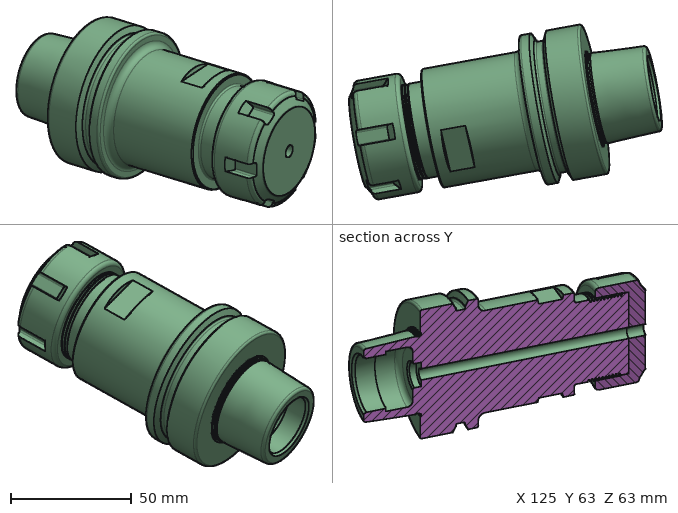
import cadquery as cq
import math


taper_tip_radius = 18.0
taper_slope = 0.05
tip_round = 1.2
taper_end = 23.0
neck_radius = 18.8
neck_start = 23.8
neck_end = 24.5
neck_root_radius = 19.2

flange_start = 25.0
flange_end = 51.0
flange_radius = 31.5
flange_round = 1.0
relief_radius = 20.1
relief_depth = 0.5
grip_start = 39.6
grip_end = 46.4
grip_bevel_length = 1.4
grip_bevel_drop = 2.8
grip_floor_radius = 27.6
grip_fillet = 0.8

body_radius = 25.0
body_end = 93.5
body_chamfer = 0.5
body_fillet = 3.0
flat_start = 77.8
flat_end = 88.0
flat_height = 23.0
flat_wall_angle = 15.0

stud_radius = 20.0
stud_end = 117.5
stud_root_fillet = 0.8
thread_pitch = 1.5
thread_depth = 1.2
thread_width = 1.2
thread_turns = 10
thread_start = 99.6
thread_start_angle = 209.0

socket_radius = 13.0
socket_mouth_radius = 13.8
socket_mouth_length = 1.2
socket_lip = 10.0
undercut_radius = 14.5
socket_depth = 21.8
socket_floor_fillet = 2.5
counterbore_radius = 5.8
counterbore_mouth_radius = 6.5
counterbore_depth = 3.8
through_radius = 2.6

nut_start = 102.5
nut_end = 125.0
nut_radius = 25.0
nut_round = 1.9
nut_shoulder = 122.4
cone_rear_radius = 23.0
cone_front_radius = 19.5
nut_edge = 0.4
slot_count = 6
slot_width = 6.5
slot_floor_height = 21.5
slot_floor_fillet = 0.8
slot_floor_start = 112.6
slot_lead = 2.5
slot_ramp_angle = 50.0


def revolve_about_x(outline):
    return outline.close().revolve(360, (0, 0, 0), (1, 0, 0))


def round_corner(outline, corner, entry, leave, radius):
    """Line to a right-angled corner rounded off; entry and leave are unit travel directions."""
    begin = (corner[0] - entry[0] * radius, corner[1] - entry[1] * radius)
    finish = (corner[0] + leave[0] * radius, corner[1] + leave[1] * radius)
    return outline.lineTo(*begin).tangentArcPoint(finish, relative=False)


def holder_blank():
    right, up, down = (1, 0), (0, 1), (0, -1)
    taper_end_radius = taper_tip_radius + taper_slope * (taper_end - tip_round)
    bevel_radius = flange_radius - grip_bevel_drop
    groove_left = grip_start + grip_bevel_length
    groove_right = grip_end - grip_bevel_length

    outline = cq.Workplane("XZ").lineTo(0, taper_tip_radius - tip_round)
    outline = outline.radiusArc((tip_round, taper_tip_radius), tip_round)
    outline = outline.lineTo(taper_end, taper_end_radius).lineTo(neck_start, neck_radius)
    outline = outline.lineTo(neck_end, neck_radius).lineTo(flange_start, neck_root_radius)
    outline = outline.lineTo(flange_start + relief_depth, neck_root_radius)
    outline = outline.lineTo(flange_start + relief_depth, relief_radius).lineTo(flange_start, relief_radius)
    outline = round_corner(outline, (flange_start, flange_radius), up, right, flange_round)
    outline = outline.lineTo(grip_start, flange_radius).lineTo(groove_left, bevel_radius)
    outline = round_corner(outline, (groove_left, grip_floor_radius), down, right, grip_fillet)
    outline = round_corner(outline, (groove_right, grip_floor_radius), right, up, grip_fillet)
    outline = outline.lineTo(groove_right, bevel_radius).lineTo(grip_end, flange_radius)
    outline = round_corner(outline, (flange_end, flange_radius), right, down, flange_round)
    outline = round_corner(outline, (flange_end, body_radius), down, right, body_fillet)
    outline = outline.lineTo(body_end - body_chamfer, body_radius)
    outline = outline.lineTo(body_end, body_radius - body_chamfer)
    outline = round_corner(outline, (body_end, stud_radius), down, right, stud_root_fillet)
    outline = outline.lineTo(stud_end, stud_radius).lineTo(stud_end, 0)
    return revolve_about_x(outline)


def holder_bore():
    mouth_bevel = counterbore_mouth_radius - counterbore_radius
    counterbore_end = socket_depth + counterbore_depth
    outline = cq.Workplane("XZ").lineTo(0, socket_mouth_radius).lineTo(socket_mouth_length, socket_radius)
    outline = outline.lineTo(socket_lip, socket_radius).lineTo(socket_lip, undercut_radius)
    outline = round_corner(outline, (socket_depth, undercut_radius), (1, 0), (0, -1), socket_floor_fillet)
    outline = outline.lineTo(socket_depth, counterbore_mouth_radius)
    outline = outline.lineTo(socket_depth + mouth_bevel, counterbore_radius)
    outline = outline.lineTo(counterbore_end, counterbore_radius).lineTo(counterbore_end, through_radius)
    outline = outline.lineTo(stud_end, through_radius).lineTo(stud_end, 0)
    return revolve_about_x(outline)


def wrench_flat_cut(side):
    """Cutter for one wrench flat; side is +1 for the top and -1 for the bottom."""
    rise = flange_radius - flat_height
    lean = rise * math.tan(math.radians(flat_wall_angle))
    floor, top = side * flat_height, side * flange_radius
    outline = cq.Workplane("XZ").moveTo(flat_start, floor).lineTo(flat_end, floor)
    outline = outline.lineTo(flat_end + lean, top).lineTo(flat_start - lean, top).close()
    return outline.extrude(body_radius, both=True)


def thread_cut():
    """V-shaped groove that winds right-handed around the stud and stops short of its free end."""
    overlap = 0.1
    half_width = thread_width / 2
    length = thread_turns * thread_pitch
    path = cq.Workplane(cq.Wire.makeHelix(thread_pitch, length, stud_radius))
    groove = (
        cq.Workplane("XZ")
        .moveTo(stud_radius + overlap, -half_width)
        .lineTo(stud_radius + overlap, half_width)
        .lineTo(stud_radius - thread_depth, 0)
        .close()
        .sweep(path, isFrenet=True)
    )
    groove = groove.rotate((0, 0, 0), (1, 0, 0), 90).rotate((0, 0, 0), (0, 0, 1), 90)
    return groove.rotate((0, 0, 0), (1, 0, 0), thread_start_angle).translate((thread_start, 0, 0))


def make_holder():
    holder = holder_blank().cut(holder_bore())
    for side in (1, -1):
        holder = holder.cut(wrench_flat_cut(side))
    return holder.cut(thread_cut())


def nut_blank():
    right, up, down = (1, 0), (0, 1), (0, -1)
    outline = cq.Workplane("XZ").moveTo(nut_start, stud_radius)
    outline = round_corner(outline, (nut_start, nut_radius), up, right, nut_round)
    outline = round_corner(outline, (nut_shoulder, nut_radius), right, down, nut_round)
    outline = outline.lineTo(nut_shoulder, cone_rear_radius)
    outline = outline.lineTo(nut_end - nut_edge, cone_front_radius)
    outline = outline.lineTo(nut_end, cone_front_radius - nut_edge).lineTo(nut_end, through_radius)
    outline = outline.lineTo(stud_end, through_radius).lineTo(stud_end, stud_radius)
    return revolve_about_x(outline)


def slot_cut(floor_start):
    """Cutter for one wrench slot on the +Y side, with a ramp at its closed end."""
    clearance = 1.2
    ramp_top = nut_radius + clearance
    ramp_length = (ramp_top - slot_floor_height) / math.tan(math.radians(slot_ramp_angle))
    profile = cq.Workplane("XY").moveTo(floor_start, slot_floor_height)
    profile = profile.lineTo(nut_end, slot_floor_height).lineTo(nut_end, ramp_top)
    profile = profile.lineTo(floor_start - ramp_length, ramp_top).close()
    cutter = profile.extrude(slot_width / 2, both=True)
    return cutter.faces("<Y").edges("|X").fillet(slot_floor_fillet)


def make_nut():
    nut = nut_blank()
    for index in range(slot_count):
        angle = 90 + index * 360 / slot_count
        on_positive_y = math.sin(math.radians(angle)) > 0
        floor_start = slot_floor_start - (slot_lead if on_positive_y else 0)
        nut = nut.cut(slot_cut(floor_start).rotate((0, 0, 0), (1, 0, 0), angle - 90))
    return nut


holder = make_holder()
nut = make_nut()

result = cq.Compound.makeCompound([*holder.solids().vals(), *nut.solids().vals()])